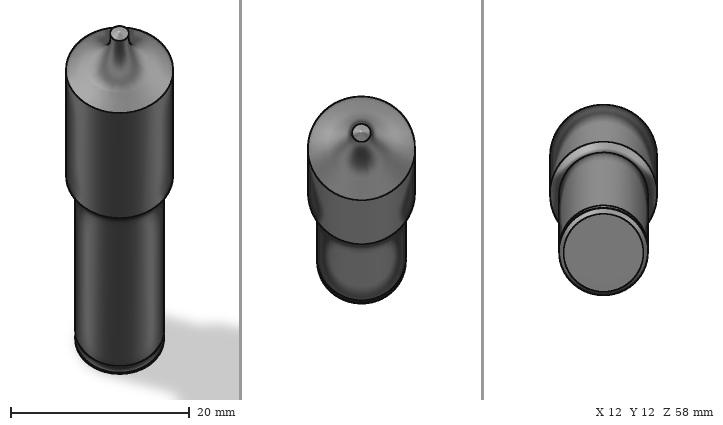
import cadquery as cq
import math

total_height = 58.0
tip_shoulder_z = 57.4
flare_base_z = 51.75
head_top_z = 50.6
head_bottom_z = 31.0
shank_top_z = 30.0
groove_top_z = 2.05
groove_bottom_z = 0.8
base_chamfer_height = 0.5

head_radius = 6.005
shank_radius = 5.0
groove_radius = 4.75
base_radius = 4.45
flare_base_radius = 4.0
neck_radius = 1.05
flare_arc_radius = 5.2

flare_sweep = math.acos(1 - (flare_base_radius - neck_radius) / flare_arc_radius)
flare_top_z = flare_base_z + flare_arc_radius * math.sin(flare_sweep)
flare_mid_point = (
    neck_radius + flare_arc_radius * (1 - math.cos(flare_sweep / 2)),
    flare_top_z - flare_arc_radius * math.sin(flare_sweep / 2),
)

groove_floor_point = (groove_radius, (groove_top_z + groove_bottom_z) / 2)

profile = (
    cq.Workplane("XZ")
    .lineTo(base_radius, 0)
    .lineTo(shank_radius, base_chamfer_height)
    .lineTo(shank_radius, groove_bottom_z)
    .threePointArc(groove_floor_point, (shank_radius, groove_top_z))
    .lineTo(shank_radius, shank_top_z)
    .lineTo(head_radius, head_bottom_z)
    .lineTo(head_radius, head_top_z)
    .lineTo(flare_base_radius, flare_base_z)
    .threePointArc(flare_mid_point, (neck_radius, flare_top_z))
    .lineTo(neck_radius, tip_shoulder_z)
    .lineTo(0, total_height)
    .close()
)

result = profile.revolve(360, (0, 0, 0), (0, 1, 0))